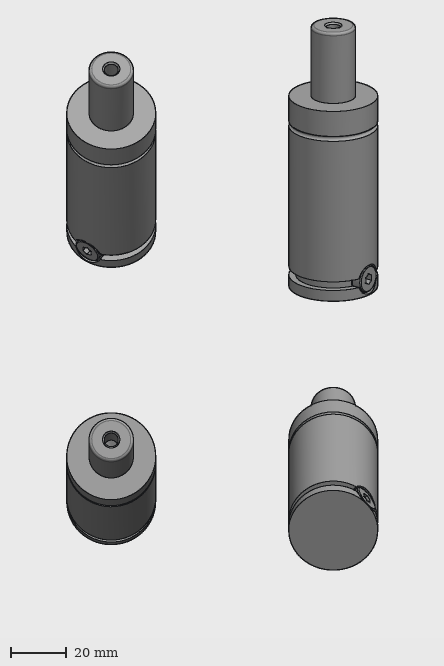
import cadquery as cq
import math

total_height = 100.0
body_diameter = 32.0
body_height = 73.0
rod_diameter = 16.0
rod_edge_round = 1.0

base_groove_bottom = 4.2
base_groove_width = 3.3
base_groove_diameter = 27.0

collar_height = 9.7
ring_groove_width = 1.8
ring_groove_depth = 1.0

hole_diameter = 5.0
hole_mouth_diameter = 6.2
hole_depth = 12.0
drill_point_angle = 118.0

bore_diameter = 11.0
plug_diameter = 10.0
plug_chamfer = 0.4
plug_height = 6.0
plug_recess = 0.3
bore_depth = 4.0
hex_across_flats = 3.5
hex_depth = 3.0

body_radius = body_diameter / 2
rod_radius = rod_diameter / 2


def make_body():
    """Revolve the body and rod, including both grooves."""
    groove_radius = base_groove_diameter / 2
    base_groove_top = base_groove_bottom + base_groove_width
    ring_top = body_height - collar_height
    ring_bottom = ring_top - ring_groove_width
    ring_middle = (ring_top + ring_bottom) / 2
    profile = (
        cq.Workplane("XZ")
        .lineTo(body_radius, 0)
        .lineTo(body_radius, base_groove_bottom)
        .lineTo(groove_radius, base_groove_bottom)
        .lineTo(groove_radius, base_groove_top)
        .lineTo(body_radius, base_groove_top)
        .lineTo(body_radius, ring_bottom)
        .threePointArc((body_radius - ring_groove_depth, ring_middle), (body_radius, ring_top))
        .lineTo(body_radius, body_height)
        .lineTo(rod_radius, body_height)
        .lineTo(rod_radius, total_height)
        .lineTo(0, total_height)
        .close()
    )
    body = profile.revolve(360, (0, 0, 0), (0, 1, 0))
    return body.faces(">Z").edges().fillet(rod_edge_round)


def make_rod_hole():
    """Blind hole with a chamfered mouth and a conical drill point."""
    radius = hole_diameter / 2
    mouth_radius = hole_mouth_diameter / 2
    mouth_chamfer = mouth_radius - radius
    point_length = radius / math.tan(math.radians(drill_point_angle / 2))
    floor = total_height - hole_depth
    return (
        cq.Workplane("XZ")
        .moveTo(0, total_height)
        .lineTo(mouth_radius, total_height)
        .lineTo(radius, total_height - mouth_chamfer)
        .lineTo(radius, floor)
        .lineTo(0, floor - point_length)
        .close()
        .revolve(360, (0, 0, 0), (0, 1, 0))
    )


def side_plane(distance):
    """Workplane facing -Y at the plug axis, a given distance from the body axis."""
    return cq.Workplane("XZ", origin=(0, -distance, plug_height))


def fit_plug(body):
    """Stand a chamfered plug with a hexagon socket in a wider flat-bottomed bore."""
    face_distance = body_radius - plug_recess
    floor_distance = body_radius - bore_depth
    bore = side_plane(floor_distance).circle(bore_diameter / 2).extrude(bore_depth)
    plug = side_plane(floor_distance).circle(plug_diameter / 2).extrude(bore_depth - plug_recess)
    plug = plug.faces("<Y").edges().chamfer(plug_chamfer)
    hex_across_corners = hex_across_flats / math.cos(math.radians(30))
    socket = (
        side_plane(face_distance)
        .transformed(rotate=(0, 0, 90))
        .polygon(6, hex_across_corners)
        .extrude(-hex_depth)
    )
    return body.cut(bore).union(plug.cut(socket))


result = fit_plug(make_body().cut(make_rod_hole()))